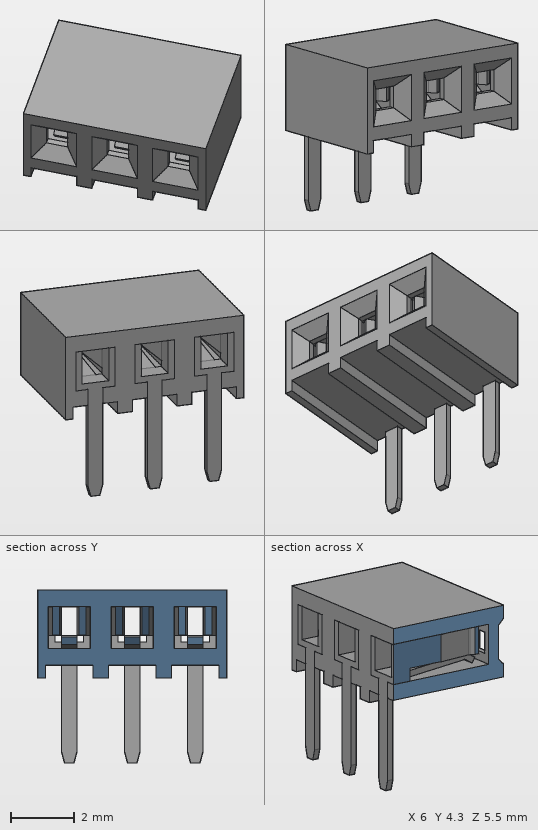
import cadquery as cq
import math


length = 6.0
depth = 4.3
housing_height = 2.8
contact_count = 3
pitch = length / contact_count
axis_z = 1.6
foot_gap = 1.5
foot_height = 0.4

funnel_mouth = 1.5
throat_width = 0.7
funnel_depth = (funnel_mouth - throat_width) / 2
throat_length = 0.2
cavity_width = 1.32

metal = 0.21
strip_width = 0.5
leg_bottom = -2.7
leg_tip_width = 0.3
leg_tip_length = 0.36
finger_tip_y = 0.9
ramp_angle = math.radians(33)
beam_angle = math.radians(5)
finger_rise = 0.205
crown_radius = 0.29
plate_level = metal - cavity_width / 2
side_finger_bottom = -strip_width / 2

crown_center_rise = finger_rise - crown_radius


def straight_run(angle):
    """Length along Y of the straight stretch that falls from the crown arc to the plate surface."""
    return (crown_center_rise + crown_radius * math.cos(angle)) / math.tan(angle)


crown_y = finger_tip_y + straight_run(ramp_angle) + crown_radius * math.sin(ramp_angle)
finger_end_y = crown_y + crown_radius * math.sin(beam_angle) + straight_run(beam_angle)


def box(x0, x1, y0, y1, z0, z1):
    return cq.Workplane("XY").box(x1 - x0, y1 - y0, z1 - z0, centered=False).translate((x0, y0, z0))


def make_opening():
    """Funnel, throat and cavity around one contact, with its axis on the Y axis."""
    funnel = (
        cq.Workplane("XZ")
        .rect(funnel_mouth, funnel_mouth)
        .workplane(offset=-funnel_depth)
        .rect(throat_width, throat_width)
        .loft(ruled=True)
    )
    cavity_y = funnel_depth + throat_length
    half_throat = throat_width / 2
    half_cavity = cavity_width / 2
    throat = box(-half_throat, half_throat, funnel_depth, cavity_y, -half_throat, half_throat)
    cavity = box(-half_cavity, half_cavity, cavity_y, depth, -half_cavity, half_cavity)
    return funnel.union(throat).union(cavity)


def make_housing(centers):
    cavity_floor = axis_z - cavity_width / 2
    housing = box(-length / 2, length / 2, 0, depth, 0, housing_height)
    opening = make_opening()
    for x in centers:
        housing = housing.cut(opening.translate((x, 0, axis_z)))
        housing = housing.cut(box(x - foot_gap / 2, x + foot_gap / 2, 0, depth, 0, foot_height))
        housing = housing.cut(
            box(x - strip_width / 2, x + strip_width / 2, depth - metal, depth, foot_height, cavity_floor)
        )
    return housing


def make_finger(x0, x1):
    """Humped spring finger on the cavity floor, from x0 to x1."""
    center_z = plate_level + crown_center_rise
    back_radius = crown_radius - metal
    plate_back = plate_level - metal
    back_bend_y = finger_end_y - metal * math.tan(beam_angle / 2)

    def on_crown(radius, angle):
        return (crown_y + radius * math.sin(angle), center_z + radius * math.cos(angle))

    return (
        cq.Workplane("YZ", origin=(x0, 0, 0))
        .moveTo(finger_tip_y, plate_level)
        .lineTo(*on_crown(crown_radius, -ramp_angle))
        .threePointArc(on_crown(crown_radius, 0), on_crown(crown_radius, beam_angle))
        .lineTo(finger_end_y, plate_level)
        .lineTo(finger_end_y, plate_back)
        .lineTo(back_bend_y, plate_back)
        .lineTo(*on_crown(back_radius, beam_angle))
        .threePointArc(on_crown(back_radius, 0), on_crown(back_radius, -ramp_angle))
        .lineTo(finger_tip_y + metal * math.sin(ramp_angle), plate_level - metal * math.cos(ramp_angle))
        .close()
        .extrude(x1 - x0)
    )


def make_leg():
    """Flat tail at the rear, tapered at its lower end."""
    top = plate_level
    bottom = leg_bottom - axis_z
    taper_start = bottom + leg_tip_length
    return (
        cq.Workplane("XZ", origin=(0, depth, 0))
        .polyline([
            (-strip_width / 2, top),
            (-strip_width / 2, taper_start),
            (-leg_tip_width / 2, bottom),
            (leg_tip_width / 2, bottom),
            (strip_width / 2, taper_start),
            (strip_width / 2, top),
        ])
        .close()
        .extrude(metal)
    )


def make_contact():
    """Channel with three spring fingers in front and a leg behind, with its axis on the Y axis."""
    half = cavity_width / 2
    channel = box(-half, half, finger_end_y, depth, -half, half).cut(
        box(plate_level, -plate_level, finger_end_y, depth, plate_level, half)
    )
    lower_finger = make_finger(-strip_width / 2, strip_width / 2)
    right_finger = make_finger(side_finger_bottom, half).rotate((0, 0, 0), (0, 1, 0), -90)
    left_finger = right_finger.mirror("YZ")
    return channel.union(lower_finger).union(right_finger).union(left_finger).union(make_leg())


centers = [(i - (contact_count - 1) / 2) * pitch for i in range(contact_count)]
housing = make_housing(centers)
contact = make_contact()
contacts = [contact.translate((x, 0, axis_z)) for x in centers]

result = cq.Compound.makeCompound([housing.val(), *[placed.val() for placed in contacts]])